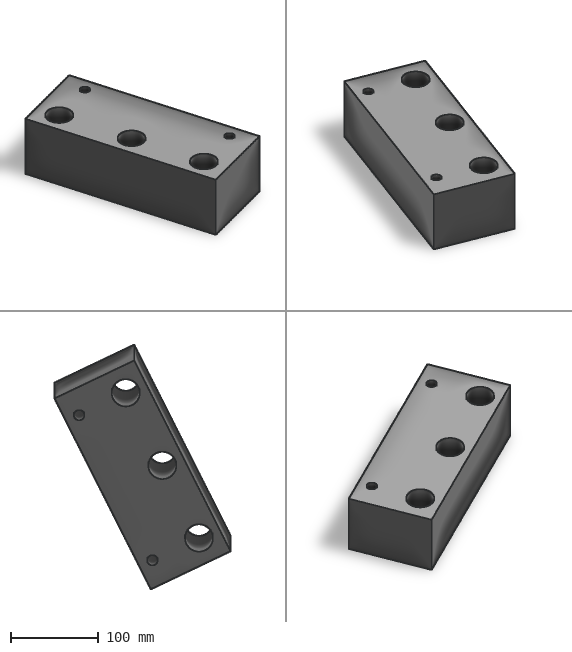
import cadquery as cq

length = 250.0
width = 101.5
height = 76.2

hole_spacing = 95.0
large_diameter = 32.0
large_edge_distance = 25.5
small_diameter = 12.0
small_edge_distance = 16.8

large_row_y = -width / 2 + large_edge_distance
small_row_y = width / 2 - small_edge_distance

large_centers = [(x, large_row_y) for x in (-hole_spacing, 0, hole_spacing)]
small_centers = [(x, small_row_y) for x in (-hole_spacing, hole_spacing)]


def drill_through(body, centers, diameter):
    """Drill holes from the top face right through the block."""
    return body.faces(">Z").workplane(origin=(0, 0, 0)).pushPoints(centers).hole(diameter)


block = cq.Workplane("XY").box(length, width, height)
block = drill_through(block, large_centers, large_diameter)
result = drill_through(block, small_centers, small_diameter)